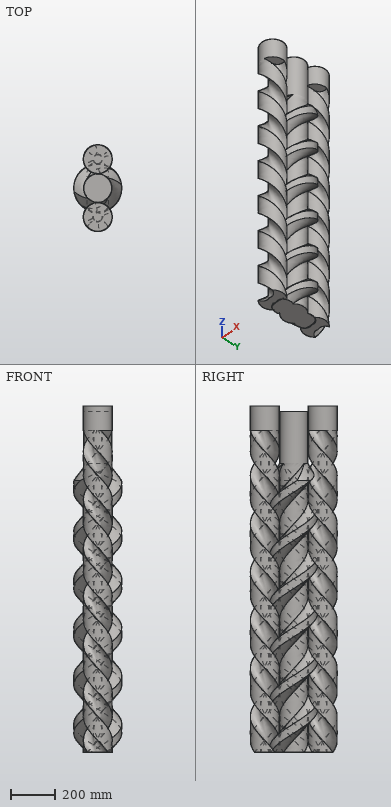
import cadquery as cq
import math

LENGTH = 1565.0
WIDTH = 393.0
POWER_DIA = 218.0
POWER_ROOT_DIA = 128.0
IDLER_DIA = 132.0
IDLER_ROOT_DIA = 40.0
HALF_LEAD = 218.0
STARTS = 2
RIGHT_HAND = 1
LEFT_HAND = -1
IDLER_SHANK = 111.0
POWER_TOP_DROP = 25.0
POWER_THREAD_PITCHES = 6
END_TAPER_ANGLE = 30.0
IDLER_LAND_ANGLE = 90.0
FLANK_CLEARANCE_ANGLE = 3.0
FLANK_POINTS = 6
CUT_MARGIN = 15.0

CENTRE_DISTANCE = (WIDTH - IDLER_DIA) / 2
POWER_R = POWER_DIA / 2
POWER_ROOT_R = POWER_ROOT_DIA / 2
IDLER_R = IDLER_DIA / 2
IDLER_ROOT_R = IDLER_ROOT_DIA / 2
LEAD = STARTS * HALF_LEAD
POWER_THREAD = POWER_THREAD_PITCHES * HALF_LEAD


def polar(radius, angle):
    return (radius * math.cos(angle), radius * math.sin(angle))


def traced_flank(inner, outer):
    """Polar points of the curve that a crest corner of the mating screw traces.

    Both screws turn at the same speed in opposite directions. The traced corner sits at the
    radius that just reaches the inner radius, and the angles start from zero there.
    """
    tracer = CENTRE_DISTANCE - inner
    cosine = (CENTRE_DISTANCE**2 + tracer**2 - outer**2) / (2 * CENTRE_DISTANCE * tracer)
    full_turn = math.acos(cosine)
    points = []
    for i in range(FLANK_POINTS + 1):
        turn = full_turn * i / FLANK_POINTS
        x = CENTRE_DISTANCE - tracer * math.cos(turn)
        y = tracer * math.sin(turn)
        points.append((math.hypot(x, y), abs(math.atan2(y, x) - turn)))
    return points


def screw_profile(flank, root_half_angle, lobe_direction):
    """Two-lobed section; each flank leans by its own angle from the root arc to the crest arc."""
    root_radius = flank[0][0]
    crest_radius = flank[-1][0]
    half_pitch = math.pi / STARTS
    profile = cq.Workplane("XY")
    for start in range(STARTS):
        lobe = lobe_direction + start * 2 * half_pitch
        base = half_pitch - root_half_angle
        rising = [polar(r, lobe - base + a) for r, a in flank]
        falling = [polar(r, lobe + base - a) for r, a in reversed(flank)]
        if start == 0:
            profile = profile.moveTo(*rising[0])
        profile = profile.spline(rising[1:], includeCurrent=True)
        profile = profile.threePointArc(polar(crest_radius, lobe), falling[0])
        profile = profile.spline(falling[1:], includeCurrent=True)
        next_root = lobe + half_pitch
        profile = profile.threePointArc(
            polar(root_radius, next_root), polar(root_radius, next_root + root_half_angle)
        )
    return profile.close()


def thread(profile, length, hand):
    return profile.twistExtrude(length, hand * 360 * length / LEAD)


def end_taper_ring():
    """Ring outside the cone that runs from the root circle at the thread's top down past the crest."""
    ring_r = POWER_R + CUT_MARGIN
    slope = 1 / math.tan(math.radians(END_TAPER_ANGLE))
    inner_r = POWER_ROOT_R
    ring_bottom = POWER_THREAD - (ring_r - inner_r) * slope
    outline = [
        (inner_r, POWER_THREAD),
        (ring_r, ring_bottom),
        (ring_r, POWER_THREAD + CUT_MARGIN),
        (inner_r, POWER_THREAD + CUT_MARGIN),
    ]
    return cq.Workplane("XZ").polyline(outline).close().revolve(360, (0, 0), (0, 1))


def power_screw():
    flank = traced_flank(POWER_ROOT_R, POWER_R)
    root_angle = math.radians(IDLER_LAND_ANGLE + FLANK_CLEARANCE_ANGLE)
    profile = screw_profile(flank, root_angle / 2, math.pi / 2)
    screw = thread(profile, POWER_THREAD, RIGHT_HAND).cut(end_taper_ring())
    shank = (
        cq.Workplane("XY").workplane(offset=POWER_THREAD)
        .circle(POWER_ROOT_R).extrude(LENGTH - POWER_TOP_DROP - POWER_THREAD)
    )
    return screw.union(shank)


def idler_screw(y):
    flank = traced_flank(IDLER_ROOT_R, IDLER_R)
    crest_half_angle = math.radians(IDLER_LAND_ANGLE) / 2
    root_half_angle = math.pi / STARTS - crest_half_angle - flank[-1][1]
    profile = screw_profile(flank, root_half_angle, 0)
    screw = thread(profile, LENGTH - IDLER_SHANK, LEFT_HAND)
    shank = (
        cq.Workplane("XY").workplane(offset=LENGTH - IDLER_SHANK)
        .circle(IDLER_R).extrude(IDLER_SHANK)
    )
    return screw.union(shank).translate((0, y, 0))


power = power_screw()
idlers = [idler_screw(side * CENTRE_DISTANCE) for side in (-1, 1)]

result = cq.Compound.makeCompound([power.val(), *[idler.val() for idler in idlers]])